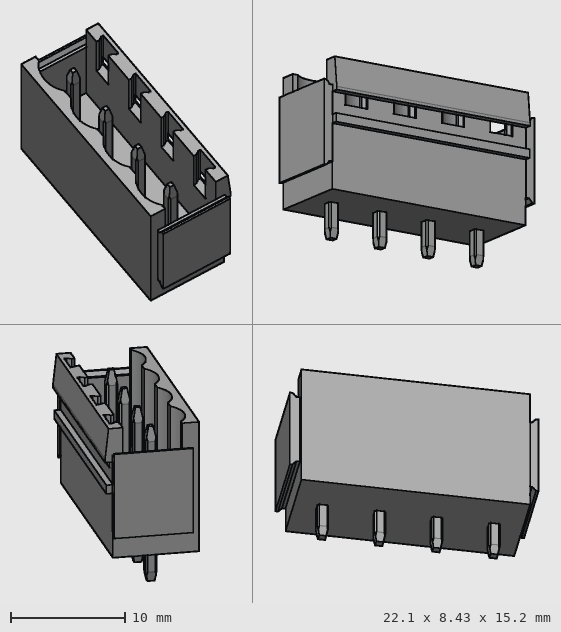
import cadquery as cq

overall_length = 22.08
pin_count = 4
pitch = 5.08
housing_length = pin_count * pitch
housing_depth = 7.73
housing_height = 12.0
floor_thickness = 3.0
front_wall = 1.52
back_wall_inner_y = 6.85

lip_height = 3.11
lip_top_y = 8.13
lip_bottom_y = 8.43
lip_edge_height = 0.3
rib_y = 8.32
rib_bottom_z = 5.98
rib_height = 0.8

scallop_width = 4.1
scallop_depth = 0.77

groove_back_width = 2.36
groove_mouth_width = 1.85
groove_back_step = 0.22
groove_flare = 0.38
groove_height = 4.1

rail_reach = (overall_length - housing_length) / 2
rail_front_y = 0.73
rail_depth = 7.07
rail_height = 7.8
rail_neck_height = 7.0
rail_neck_length = 0.3
rail_edge_thickness = 0.22

pin_width = 1.0
pin_corner = 0.15
pin_y = 3.8
pin_bottom_z = -3.2
pin_top_z = 11.1
bottom_tip_width = 0.65
bottom_tip_height = 0.93
top_tip_width = 0.42
top_tip_height = 1.32

pin_xs = [(i - (pin_count - 1) / 2) * pitch for i in range(pin_count)]


def make_shell():
    """Side profile of the housing, with lip and rib, run along the full length."""
    lip_z = housing_height - lip_height
    rib_top_z = rib_bottom_z + rib_height
    return (
        cq.Workplane("YZ", origin=(-housing_length / 2, 0, 0))
        .polyline([
            (0, 0),
            (housing_depth, 0),
            (housing_depth, rib_bottom_z),
            (rib_y, rib_bottom_z),
            (rib_y, rib_top_z),
            (housing_depth, rib_top_z),
            (housing_depth, lip_z),
            (lip_bottom_y, lip_z),
            (lip_bottom_y, lip_z + lip_edge_height),
            (lip_top_y, housing_height),
            (back_wall_inner_y, housing_height),
            (back_wall_inner_y, floor_thickness),
            (front_wall, floor_thickness),
            (front_wall, housing_height),
            (0, housing_height),
        ])
        .close()
        .extrude(housing_length)
    )


def make_scallop(x):
    """Shallow arc hollowed into the front wall opposite one pin."""
    return (
        cq.Workplane("XY", origin=(x, front_wall, floor_thickness))
        .moveTo(-scallop_width / 2, 0)
        .threePointArc((0, -scallop_depth), (scallop_width / 2, 0))
        .close()
        .extrude(housing_height - floor_thickness)
    )


def make_groove(x):
    """Dovetail groove in the back wall; below the lip it breaks through as a window."""
    half_back = groove_back_width / 2
    half_mouth = groove_mouth_width / 2
    step_y = housing_depth - groove_back_step
    flare_y = step_y - groove_flare
    return (
        cq.Workplane("XY", origin=(x, 0, housing_height - groove_height))
        .polyline([
            (-half_mouth, back_wall_inner_y),
            (half_mouth, back_wall_inner_y),
            (half_mouth, flare_y),
            (half_back, step_y),
            (half_back, housing_depth),
            (-half_back, housing_depth),
            (-half_back, step_y),
            (-half_mouth, flare_y),
        ])
        .close()
        .extrude(groove_height)
    )


def make_rail(side):
    """End wall whose top and bottom edges flare outwards; side is -1 or +1 along X."""
    inner_x = side * housing_length / 2
    neck_x = inner_x + side * rail_neck_length
    outer_x = inner_x + side * rail_reach
    edge_x = outer_x - side * rail_edge_thickness
    half_neck = rail_neck_height / 2
    half_rail = rail_height / 2
    return (
        cq.Workplane("XZ", origin=(0, rail_front_y, housing_height / 2))
        .polyline([
            (inner_x, -half_neck),
            (neck_x, -half_neck),
            (edge_x, -half_rail),
            (outer_x, -half_rail),
            (outer_x, half_rail),
            (edge_x, half_rail),
            (neck_x, half_neck),
            (inner_x, half_neck),
        ])
        .close()
        .extrude(-rail_depth)
    )


def tapered_slab(plane):
    """Pin outline with both tips tapered, as thick as the pin."""
    half_width = pin_width / 2
    bottom_shoulder_z = pin_bottom_z + bottom_tip_height
    top_shoulder_z = pin_top_z - top_tip_height
    return (
        cq.Workplane(plane)
        .polyline([
            (-bottom_tip_width / 2, pin_bottom_z),
            (bottom_tip_width / 2, pin_bottom_z),
            (half_width, bottom_shoulder_z),
            (half_width, top_shoulder_z),
            (top_tip_width / 2, pin_top_z),
            (-top_tip_width / 2, pin_top_z),
            (-half_width, top_shoulder_z),
            (-half_width, bottom_shoulder_z),
        ])
        .close()
        .extrude(half_width, both=True)
    )


def make_pin(x):
    """Square pin with bevelled corners and both tips tapered on all four sides."""
    bar = (
        cq.Workplane("XY", origin=(0, 0, pin_bottom_z))
        .rect(pin_width, pin_width)
        .extrude(pin_top_z - pin_bottom_z)
        .edges("|Z")
        .chamfer(pin_corner)
    )
    pin = bar.intersect(tapered_slab("XZ")).intersect(tapered_slab("YZ"))
    return pin.translate((x, pin_y, 0))


def make_housing(pins):
    """Housing with its end rails, wall cut-outs and a matching hole for every pin."""
    housing = make_shell()
    for side in (-1, 1):
        housing = housing.union(make_rail(side))
    for x in pin_xs:
        housing = housing.cut(make_scallop(x)).cut(make_groove(x))
    for pin in pins:
        housing = housing.cut(pin)
    return housing


pins = [make_pin(x) for x in pin_xs]
housing = make_housing(pins)

result = cq.Compound.makeCompound([housing.val(), *[pin.val() for pin in pins]])